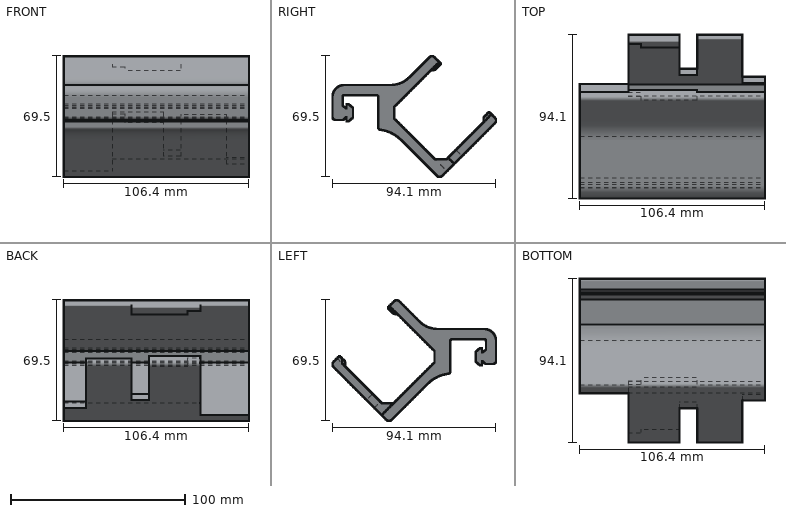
import cadquery as cq
import math

LENGTH = 106.42

HOOK_WALL = 6.0
HOOK_TOP = 16.0
HOOK_BOTTOM = -4.2
HOOK_OUTER_RADIUS = 7.0
HOOK_LOWER_RADIUS = 1.8
SLOT_WIDTH = 20.3
SLOT_RADIUS = 0.8

BARB_NECK_Y = 8.1
BARB_SHOULDER_Y = 9.2
BARB_NOSE_Y = 11.9
BARB_HALF_HEIGHT = 5.05
BARB_NECK_HALF_HEIGHT = 2.4
BARB_NOSE_HALF_HEIGHT = 2.85
BARB_ROOT_TOP = 4.1

VERTEX_Y = 32.27
ARM_THICKNESS = 6.0
CHANNEL_WIDTH = 42.4
ARM_LENGTH = 41.17
CHANNEL_CORNER_CUT = 3.3
ARM_CORNER_RADIUS = 2.0
TIP_RADIUS = 0.5
TOP_BLEND_RADIUS = 15.0
LOWER_BLEND_RADIUS = 20.0
WEB_FOOT_Z = -9.6
WEB_FOOT_RADIUS = 1.5
WEB_FOOT_ANGLE = 10.0

PLATE_THICKNESS = 5.0
PLATE_START = 27.95
PLATE_END = 93.5
PLATE_STUB_HEIGHT = 5.9
NOTCH_START = 57.4
NOTCH_END = 67.4
NOTCH_FLOOR = 12.3

LIP_LENGTH = 6.7
SHORT_LIP_LENGTH = 3.85
SHORT_LIP_END = 35.3
LIP_HEEL_RADIUS = 2.0
PLATE_LIP_HEIGHT = 2.0
ARM_LIP_HEIGHT = 1.5

PLATE_OUTER = CHANNEL_WIDTH + PLATE_THICKNESS
WEB_Y = HOOK_WALL + SLOT_WIDTH
WEB_FOOT_SLOPE = math.tan(math.radians(WEB_FOOT_ANGLE))


def arm_point(along, across):
    """Point (y, z) at a distance along the upper arm from the lower arm's inner plane, and at
    a distance across the channel from the upper arm's inner plane."""
    y = VERTEX_Y + (along + across) / math.sqrt(2)
    z = (along - across) / math.sqrt(2)
    return (y, z)


def rounded_prism(corners, x_start, x_end):
    """Prism along X over an outline of (point, corner radius) pairs."""
    outline = cq.Workplane("YZ", origin=(x_start, 0, 0))
    for index, (point, radius) in enumerate(corners):
        corner = cq.Vector(*point)
        before = cq.Vector(*corners[index - 1][0])
        after = cq.Vector(*corners[(index + 1) % len(corners)][0])
        to_before = (before - corner).normalized()
        to_after = (after - corner).normalized()
        half_angle = to_before.getAngle(to_after) / 2
        tangent_length = radius / math.tan(half_angle)
        arc_start = corner + to_before * tangent_length
        if index == 0:
            outline = outline.moveTo(arc_start.x, arc_start.y)
        else:
            outline = outline.lineTo(arc_start.x, arc_start.y)
        if radius > 0:
            bisector = (to_before + to_after).normalized()
            arc_middle = corner + bisector * (radius / math.sin(half_angle) - radius)
            arc_end = corner + to_after * tangent_length
            outline = outline.threePointArc((arc_middle.x, arc_middle.y), (arc_end.x, arc_end.y))
    return outline.close().extrude(x_end - x_start)


def body():
    """Full-length profile: upper arm, web, hook with barb, and lower arm."""
    outer_vertex_y = VERTEX_Y - ARM_THICKNESS * math.sqrt(2)
    foot_y = (outer_vertex_y - WEB_FOOT_Z - WEB_FOOT_SLOPE * WEB_Y) / (1 - WEB_FOOT_SLOPE)
    hook_root_y = BARB_NECK_Y + HOOK_BOTTOM + BARB_NECK_HALF_HEIGHT
    slot_top = HOOK_TOP - HOOK_WALL
    corners = [
        (arm_point(ARM_LENGTH, 0), TIP_RADIUS),
        (arm_point(ARM_LENGTH, -ARM_THICKNESS), ARM_CORNER_RADIUS),
        ((outer_vertex_y + HOOK_TOP, HOOK_TOP), TOP_BLEND_RADIUS),
        ((0, HOOK_TOP), HOOK_OUTER_RADIUS),
        ((0, HOOK_BOTTOM), HOOK_LOWER_RADIUS),
        ((hook_root_y, HOOK_BOTTOM), 0),
        ((BARB_NECK_Y, -BARB_NECK_HALF_HEIGHT), 0),
        ((BARB_NECK_Y, -BARB_HALF_HEIGHT), 0),
        ((BARB_SHOULDER_Y, -BARB_HALF_HEIGHT), 0),
        ((BARB_NOSE_Y, -BARB_NOSE_HALF_HEIGHT), 0),
        ((BARB_NOSE_Y, BARB_NOSE_HALF_HEIGHT), 0),
        ((BARB_SHOULDER_Y, BARB_HALF_HEIGHT), 0),
        ((BARB_NECK_Y, BARB_HALF_HEIGHT), 0),
        ((BARB_NECK_Y, BARB_NECK_HALF_HEIGHT), 0),
        ((HOOK_WALL, BARB_ROOT_TOP), 0),
        ((HOOK_WALL, slot_top), SLOT_RADIUS),
        ((WEB_Y, slot_top), SLOT_RADIUS),
        ((WEB_Y, WEB_FOOT_Z), WEB_FOOT_RADIUS),
        ((foot_y, outer_vertex_y - foot_y), LOWER_BLEND_RADIUS),
        (arm_point(-ARM_THICKNESS, PLATE_OUTER), ARM_CORNER_RADIUS),
        (arm_point(0, PLATE_OUTER), 0),
        ((VERTEX_Y + CHANNEL_CORNER_CUT, -CHANNEL_CORNER_CUT), 0),
        ((VERTEX_Y + CHANNEL_CORNER_CUT, CHANNEL_CORNER_CUT), 0),
    ]
    return rounded_prism(corners, 0, LENGTH)


def plate_stub():
    """Low part of the plate, with the flat that fills the channel's bottom corner."""
    corner_leg = CHANNEL_CORNER_CUT * math.sqrt(2)
    corners = [
        (arm_point(0, PLATE_OUTER), 0),
        (arm_point(PLATE_STUB_HEIGHT, PLATE_OUTER), 0),
        (arm_point(PLATE_STUB_HEIGHT, CHANNEL_WIDTH), 0),
        (arm_point(corner_leg, CHANNEL_WIDTH), 0),
        (arm_point(0, CHANNEL_WIDTH - corner_leg), 0),
    ]
    return rounded_prism(corners, PLATE_START, LENGTH)


def plate_panel(x_start, x_end, height, outer_radius, inner_radius):
    """Stretch of the plate rising to a height above the lower arm's inner plane."""
    corners = [
        (arm_point(0, PLATE_OUTER), 0),
        (arm_point(height, PLATE_OUTER), outer_radius),
        (arm_point(height, CHANNEL_WIDTH), inner_radius),
        (arm_point(0, CHANNEL_WIDTH), 0),
    ]
    return rounded_prism(corners, x_start, x_end)


def tall_plate(x_start, x_end):
    """Stretch of the plate that reaches the full arm length."""
    return plate_panel(x_start, x_end, ARM_LENGTH, ARM_CORNER_RADIUS, TIP_RADIUS)


def lip(x_start, x_end, length, heel_radius, base, top, root):
    """Lip at the tip of the upper arm or the plate. Across the channel it runs from root, at
    mid-thickness, past the inner plane at base to top. Its heel slants at 45 degrees."""
    height = abs(top - base)
    corners = [
        (arm_point(ARM_LENGTH, root), 0),
        (arm_point(ARM_LENGTH, top), TIP_RADIUS),
        (arm_point(ARM_LENGTH - length + height, top), heel_radius),
        (arm_point(ARM_LENGTH - length, base), 0),
        (arm_point(ARM_LENGTH - length, root), 0),
    ]
    return rounded_prism(corners, x_start, x_end)


def plate_lip(x_start, x_end, length, heel_radius):
    """Lip on the plate, facing the upper arm."""
    top = CHANNEL_WIDTH - PLATE_LIP_HEIGHT
    return lip(x_start, x_end, length, heel_radius, CHANNEL_WIDTH, top, CHANNEL_WIDTH + PLATE_THICKNESS / 2)


def arm_lip(x_start, x_end, length, heel_radius):
    """Lip on the upper arm, facing the plate."""
    return lip(x_start, x_end, length, heel_radius, 0, ARM_LIP_HEIGHT, -ARM_THICKNESS / 2)


result = body().union(plate_stub())
result = result.union(tall_plate(PLATE_START, NOTCH_START))
result = result.union(plate_panel(NOTCH_START, NOTCH_END, NOTCH_FLOOR, 0, 0))
result = result.union(tall_plate(NOTCH_END, PLATE_END))

for add_lip, lip_end in ((plate_lip, NOTCH_START), (arm_lip, NOTCH_END)):
    result = result.union(add_lip(PLATE_START, SHORT_LIP_END, SHORT_LIP_LENGTH, 0))
    result = result.union(add_lip(SHORT_LIP_END, lip_end, LIP_LENGTH, LIP_HEEL_RADIUS))